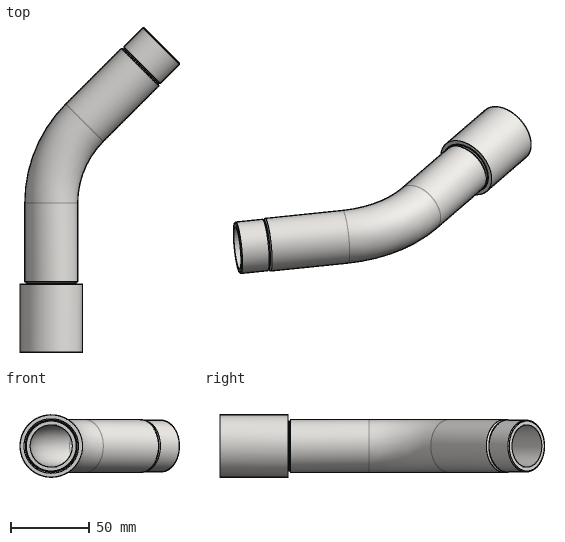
import cadquery as cq
import math

pipe_radius = 17.0
bore_radius = 13.5
bend_radius = 72.5
bend_angle = 45.0
leg_length = 50.0
spigot_radius = 16.5
spigot_length = 19.7
spigot_tip_chamfer = 0.6
groove_radius = 15.5
groove_width = 1.9
groove_flank = 0.8

sleeve_diameter = 40.0
sleeve_radius = sleeve_diameter / 2
sleeve_length = 43.5
sleeve_gap = 1.7
mouth_radius = 17.4
mouth_chamfer = mouth_radius - spigot_radius

shoulder_y = sleeve_length + sleeve_gap
bend_start_y = shoulder_y + leg_length


def make_leg():
    """Hollow straight leg from the origin along +Y, ending in a grooved spigot."""
    groove_end = leg_length + groove_width
    tip = leg_length + spigot_length
    profile = [
        (bore_radius, 0),
        (pipe_radius, 0),
        (pipe_radius, leg_length),
        (groove_radius, leg_length + groove_flank),
        (groove_radius, groove_end - groove_flank),
        (spigot_radius, groove_end),
        (spigot_radius, tip - spigot_tip_chamfer),
        (spigot_radius - spigot_tip_chamfer, tip),
        (bore_radius, tip),
    ]
    return cq.Workplane("XY").polyline(profile).close().revolve(360, (0, 0), (0, 1))


def make_bend():
    """Toroidal tube section starting at the end of the lower leg."""
    return (
        cq.Workplane("XZ", origin=(0, bend_start_y, 0))
        .circle(pipe_radius)
        .circle(bore_radius)
        .revolve(bend_angle, (bend_radius, 2), (bend_radius, 0))
    )


def make_pipe():
    """Two straight legs joined by a bend."""
    turn = math.radians(bend_angle)
    bend_end_x = bend_radius * (1 - math.cos(turn))
    bend_end_y = bend_start_y + bend_radius * math.sin(turn)

    leg = make_leg()
    lower_leg = leg.mirror("XZ").translate((0, bend_start_y, 0))
    upper_leg = leg.rotate((0, 0, 0), (0, 0, 1), -bend_angle).translate((bend_end_x, bend_end_y, 0))
    return make_bend().union(lower_leg).union(upper_leg)


def make_sleeve():
    """Sleeve fitting the spigot, with its bore chamfered at both ends."""
    profile = [
        (mouth_radius, 0),
        (sleeve_radius, 0),
        (sleeve_radius, sleeve_length),
        (mouth_radius, sleeve_length),
        (spigot_radius, sleeve_length - mouth_chamfer),
        (spigot_radius, mouth_chamfer),
    ]
    return cq.Workplane("XY").polyline(profile).close().revolve(360, (0, 0), (0, 1))


pipe = make_pipe()
sleeve = make_sleeve()

result = cq.Compound.makeCompound([pipe.val(), sleeve.val()])